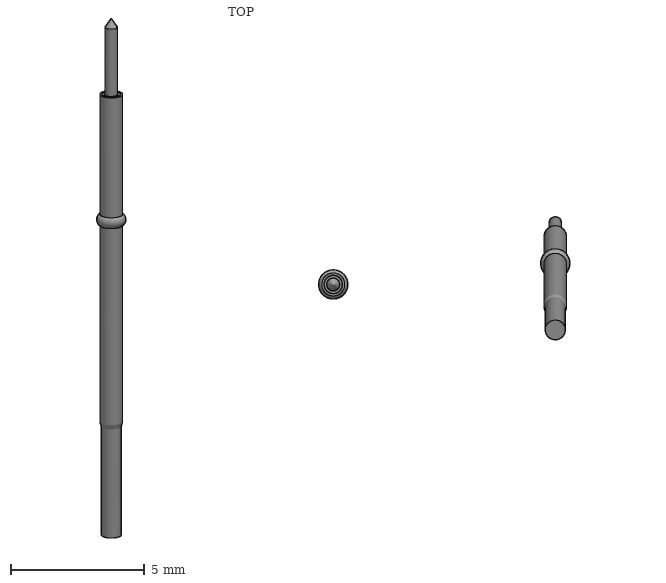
import cadquery as cq
import math

TOTAL_HEIGHT = 20.5
BARREL_HEIGHT = 17.48

TUBE_DIAMETER = 0.86
TAIL_DIAMETER = 0.75
TAIL_HEIGHT = 4.3
TAPER_HEIGHT = 0.18
BORE_DIAMETER = 0.7
TUBE_BOTTOM = TAIL_HEIGHT + TAPER_HEIGHT
BORE_FLOOR = TUBE_BOTTOM

RING_DIAMETER = 1.1
RING_BOTTOM = 12.3
RING_HEIGHT = 0.43

SHAFT_DIAMETER = 0.47
SHOULDER_DIAMETER = 0.68
TIP_HEIGHT = 0.35

CLEARANCE_DIAMETER = 0.5
CLEARANCE_DEPTH = 0.2


def cylinder(diameter, bottom, top):
    """Upright cylinder centred on the Z axis."""
    return cq.Workplane("XY", origin=(0, 0, bottom)).circle(diameter / 2).extrude(top - bottom)


def cone(bottom_diameter, top_diameter, bottom, height):
    """Upright cone, or frustum, centred on the Z axis."""
    return cq.Workplane(
        cq.Solid.makeCone(bottom_diameter / 2, top_diameter / 2, height, cq.Vector(0, 0, bottom))
    )


def make_press_ring():
    """Ring with a bulging outer face: two equal arcs that meet smoothly at its widest circle."""
    tube_radius = TUBE_DIAMETER / 2
    ring_radius = RING_DIAMETER / 2
    half_height = RING_HEIGHT / 2
    middle = RING_BOTTOM + half_height
    ring_top = RING_BOTTOM + RING_HEIGHT

    bulge = ring_radius - tube_radius
    arc_radius = (half_height**2 + bulge**2) / (2 * bulge)
    arc_centre = ring_radius - arc_radius
    half_angle = math.asin(half_height / arc_radius) / 2
    arc_mid_radius = arc_centre + arc_radius * math.cos(half_angle)
    arc_mid_rise = arc_radius * math.sin(half_angle)

    return (
        cq.Workplane("XZ")
        .moveTo(0, RING_BOTTOM)
        .lineTo(tube_radius, RING_BOTTOM)
        .threePointArc((arc_mid_radius, middle - arc_mid_rise), (ring_radius, middle))
        .threePointArc((arc_mid_radius, middle + arc_mid_rise), (tube_radius, ring_top))
        .lineTo(0, ring_top)
        .close()
        .revolve(360, (0, 0), (0, 1))
    )


def make_barrel():
    """Tail, taper, tube and press ring, with a blind bore from the top."""
    tail = cylinder(TAIL_DIAMETER, 0, TAIL_HEIGHT)
    taper = cone(TAIL_DIAMETER, TUBE_DIAMETER, TAIL_HEIGHT, TAPER_HEIGHT)
    tube = cylinder(TUBE_DIAMETER, TUBE_BOTTOM, BARREL_HEIGHT)
    outside = tail.union(taper).union(tube).union(make_press_ring())
    return outside.cut(cylinder(BORE_DIAMETER, BORE_FLOOR, BARREL_HEIGHT))


def make_plunger():
    """Shouldered rod resting on the bore floor, with a conical point."""
    clearance_bottom = BARREL_HEIGHT - CLEARANCE_DEPTH
    tip_bottom = TOTAL_HEIGHT - TIP_HEIGHT
    shoulder = cylinder(SHOULDER_DIAMETER, BORE_FLOOR, BARREL_HEIGHT)
    shoulder = shoulder.cut(cylinder(CLEARANCE_DIAMETER, clearance_bottom, BARREL_HEIGHT))
    shaft = cylinder(SHAFT_DIAMETER, clearance_bottom, tip_bottom)
    return shoulder.union(shaft).union(cone(SHAFT_DIAMETER, 0, tip_bottom, TIP_HEIGHT))


barrel = make_barrel()
plunger = make_plunger()
result = cq.Compound.makeCompound([barrel.val(), plunger.val()])